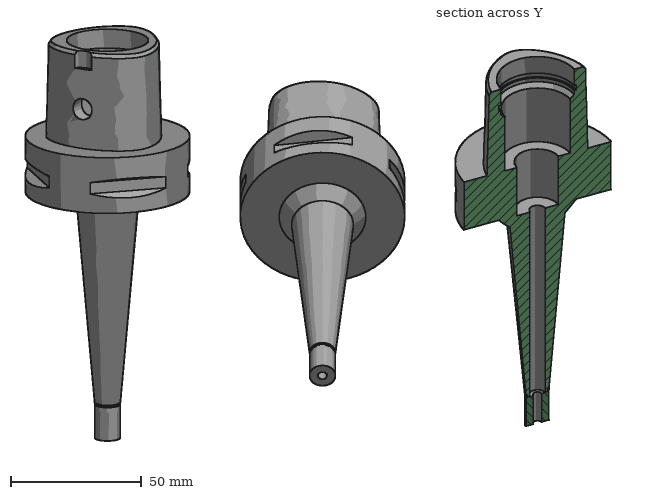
import cadquery as cq
import math

TOTAL_HEIGHT = 158.0
TIP_TOP = 13.3
STEM_TOP = 93.0
FLANGE_BOTTOM = 98.0
FLANGE_TOP = 120.1

SHANK_RADIUS = 22.1
LOBE_AMPLITUDE = 1.5
TAPER_INSET = 1.0
RIM_CHAMFER_INSET = 1.0
RIM_CHAMFER_HEIGHT = 1.5
OUTLINE_POINTS = 36

FLANGE_DIAMETER = 63.0
FLANGE_RADIUS = FLANGE_DIAMETER / 2
FLAT_DISTANCE = 27.6
FLAT_HEIGHT = 4.5
FLAT_OPENING = 7.7
FLAT_CENTER_Z = 107.8

NECK_RADIUS = 16.6
STEM_RADIUS = 11.8
TIP_DIAMETER = 10.0
TIP_RADIUS = TIP_DIAMETER / 2
JOINT_RADIUS = 4.5
JOINT_GROOVE_HEIGHT = 0.8
TIP_CYLINDER_TOP = 11.4
TIP_SHOULDER_RADIUS = 4.9

BORE_RADIUS = 15.6
BORE_GROOVE_RADIUS = 16.5
BORE_GROOVE_START = 7.6
BORE_GROOVE_END = 9.8
BORE_CONE_START = 11.5
LOWER_BORE_RADIUS = 13.9
BORE_CONE_END = BORE_CONE_START + BORE_RADIUS - LOWER_BORE_RADIUS
LOWER_BORE_DEPTH = 37.9
SCREW_BORE_RADIUS = 8.8
SCREW_BORE_DEPTH = 60.0
STEM_CHANNEL_RADIUS = 3.2
TIP_CHANNEL_RADIUS = 1.7

NOTCH_RADIUS = 4.7
NOTCH_CENTER_Y = -22.5
NOTCH_HALF_WIDTH = 3.6
NOTCH_DEPTH = 6.6
SIDE_HOLE_RADIUS = 4.1
SIDE_HOLE_Z = 135.5


def lobed_wire(mean_radius, z):
    """Closed three-lobed curve whose width is the same in every direction."""
    points = []
    for i in range(OUTLINE_POINTS):
        angle = 2 * math.pi * i / OUTLINE_POINTS
        reach = mean_radius - LOBE_AMPLITUDE * math.sin(3 * angle)
        slope = -3 * LOBE_AMPLITUDE * math.cos(3 * angle)
        x = reach * math.cos(angle) - slope * math.sin(angle)
        y = reach * math.sin(angle) + slope * math.cos(angle)
        points.append(cq.Vector(x, y, z))
    return cq.Wire.assembleEdges([cq.Edge.makeSpline(points, periodic=True)])


def make_shank():
    chamfer_z = TOTAL_HEIGHT - RIM_CHAMFER_HEIGHT
    small_radius = SHANK_RADIUS - TAPER_INSET
    base = lobed_wire(SHANK_RADIUS, FLANGE_TOP)
    shoulder = lobed_wire(small_radius, chamfer_z)
    rim = lobed_wire(small_radius - RIM_CHAMFER_INSET, TOTAL_HEIGHT)
    taper = cq.Solid.makeLoft([base, shoulder], True)
    chamfer = cq.Solid.makeLoft([shoulder, rim], True)
    return cq.Workplane(taper).union(cq.Workplane(chamfer))


def make_flange_and_stem():
    groove_top = TIP_TOP + JOINT_GROOVE_HEIGHT
    return (
        cq.Workplane("XZ")
        .moveTo(0, TIP_TOP)
        .lineTo(JOINT_RADIUS, TIP_TOP)
        .lineTo(JOINT_RADIUS, groove_top)
        .lineTo(TIP_RADIUS, groove_top)
        .lineTo(STEM_RADIUS, STEM_TOP)
        .lineTo(NECK_RADIUS, FLANGE_BOTTOM)
        .lineTo(FLANGE_RADIUS, FLANGE_BOTTOM)
        .lineTo(FLANGE_RADIUS, FLANGE_TOP)
        .lineTo(0, FLANGE_TOP)
        .close()
        .revolve(360, (0, 0), (0, 1))
    )


def make_flat_cutter():
    """Slot along Y with a flat floor and walls that flare towards the rim."""
    return (
        cq.Workplane("XZ")
        .moveTo(FLAT_DISTANCE, FLAT_CENTER_Z - FLAT_HEIGHT / 2)
        .lineTo(FLANGE_RADIUS, FLAT_CENTER_Z - FLAT_OPENING / 2)
        .lineTo(FLANGE_RADIUS, FLAT_CENTER_Z + FLAT_OPENING / 2)
        .lineTo(FLAT_DISTANCE, FLAT_CENTER_Z + FLAT_HEIGHT / 2)
        .close()
        .extrude(FLANGE_RADIUS, both=True)
    )


def make_bore_cutter():
    def level(depth):
        return TOTAL_HEIGHT - depth

    return (
        cq.Workplane("XZ")
        .moveTo(0, TOTAL_HEIGHT)
        .lineTo(BORE_RADIUS, TOTAL_HEIGHT)
        .lineTo(BORE_RADIUS, level(BORE_GROOVE_START))
        .lineTo(BORE_GROOVE_RADIUS, level(BORE_GROOVE_START))
        .lineTo(BORE_GROOVE_RADIUS, level(BORE_GROOVE_END))
        .lineTo(BORE_RADIUS, level(BORE_GROOVE_END))
        .lineTo(BORE_RADIUS, level(BORE_CONE_START))
        .lineTo(LOWER_BORE_RADIUS, level(BORE_CONE_END))
        .lineTo(LOWER_BORE_RADIUS, level(LOWER_BORE_DEPTH))
        .lineTo(SCREW_BORE_RADIUS, level(LOWER_BORE_DEPTH))
        .lineTo(SCREW_BORE_RADIUS, level(SCREW_BORE_DEPTH))
        .lineTo(STEM_CHANNEL_RADIUS, level(SCREW_BORE_DEPTH))
        .lineTo(STEM_CHANNEL_RADIUS, TIP_TOP)
        .lineTo(0, TIP_TOP)
        .close()
        .revolve(360, (0, 0), (0, 1))
    )


def make_notch_cutter():
    """Straight-sided rim notch with a rounded back."""
    floor = cq.Workplane("XY").workplane(offset=TOTAL_HEIGHT - NOTCH_DEPTH).center(0, NOTCH_CENTER_Y)
    rounded = floor.circle(NOTCH_RADIUS).extrude(NOTCH_DEPTH)
    sides = floor.rect(2 * NOTCH_HALF_WIDTH, 2 * NOTCH_RADIUS).extrude(NOTCH_DEPTH)
    return rounded.intersect(sides)


def make_side_hole_cutter():
    """Radial hole from the -Y side into the bore."""
    return (
        cq.Workplane("XZ")
        .center(0, SIDE_HOLE_Z)
        .circle(SIDE_HOLE_RADIUS)
        .extrude(FLANGE_RADIUS)
    )


def make_holder():
    body = make_flange_and_stem().union(make_shank())
    for angle in (45, 135, 225, 315):
        body = body.cut(make_flat_cutter().rotate((0, 0, 0), (0, 0, 1), angle))
    body = body.cut(make_bore_cutter())
    body = body.cut(make_notch_cutter())
    return body.cut(make_side_hole_cutter())


def make_tip():
    return (
        cq.Workplane("XZ")
        .moveTo(TIP_CHANNEL_RADIUS, 0)
        .lineTo(TIP_RADIUS, 0)
        .lineTo(TIP_RADIUS, TIP_CYLINDER_TOP)
        .lineTo(TIP_SHOULDER_RADIUS, TIP_TOP)
        .lineTo(TIP_CHANNEL_RADIUS, TIP_TOP)
        .close()
        .revolve(360, (0, 0), (0, 1))
    )


holder = make_holder()
tip = make_tip()

result = cq.Compound.makeCompound([holder.val(), tip.val()])